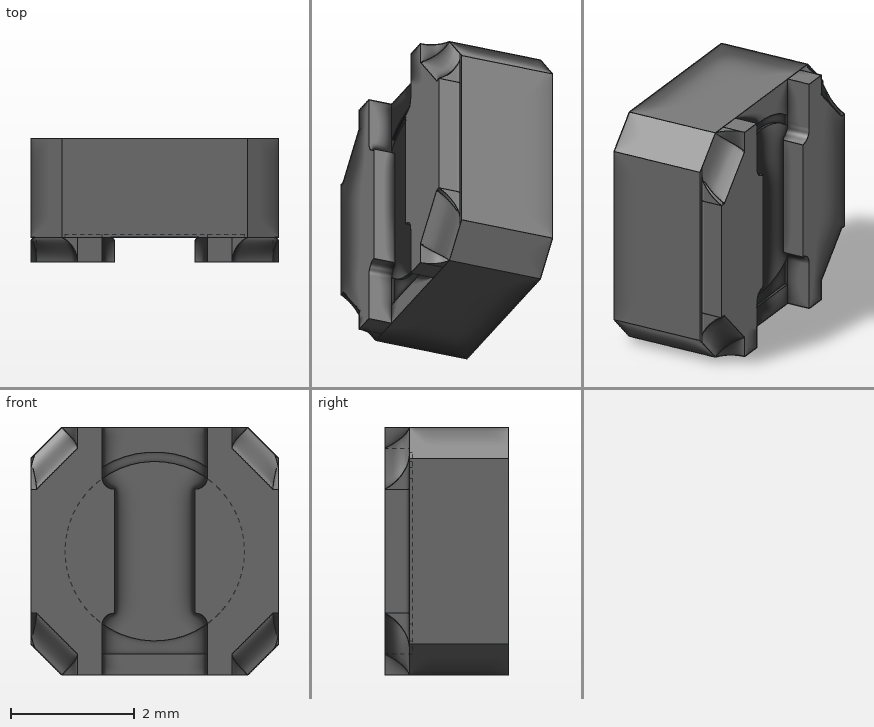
import cadquery as cq
import math

width = 4.0
half_width = width / 2
housing_depth = 1.6
pad_thickness = 0.4
housing_chamfer = 0.5
housing_front = -housing_depth
chamfer_start = half_width - housing_chamfer

core_radius = 1.45
gap_outer_radius = 1.6
gap_bottom = -1.66
gap_depth = 0.05

leg_inner_x = 0.85
leg_outer_x = 1.25
body_inner_x = 0.65
body_half_height = 1.0
leg_slope_z = 1.66
sloped_edge_x = leg_outer_x + leg_slope_z - body_half_height
notch_radius = leg_inner_x - body_inner_x
back_edge_radius = 0.08

fillet_sag = 0.07


def front_plane(y):
    """Sketch plane at height y, with X right, Z up and extrusion toward -Y."""
    return cq.Workplane("XZ", origin=(0, y, 0))


def back_edge(x):
    """Selector for the upright edges at x that lie on the front face of the housing."""
    reach = 0.0005
    return cq.selectors.BoxSelector(
        (x - reach, housing_front - reach, -half_width),
        (x + reach, housing_front + reach, half_width),
    )


def make_core():
    """Round disc whose front is flush with the housing."""
    return front_plane(housing_front + gap_depth).circle(core_radius).extrude(gap_depth)


def make_housing(core):
    """Chamfered block with a slot-shaped pocket and the seat of the core."""
    block = (
        front_plane(0)
        .rect(width, width)
        .extrude(housing_depth)
        .edges("|Y")
        .chamfer(housing_chamfer)
    )
    arc_end_z = math.sqrt(gap_outer_radius**2 - leg_inner_x**2)
    pocket = (
        front_plane(housing_front + gap_depth)
        .moveTo(-leg_inner_x, gap_bottom)
        .lineTo(leg_inner_x, gap_bottom)
        .lineTo(leg_inner_x, arc_end_z)
        .threePointArc((0, gap_outer_radius), (-leg_inner_x, arc_end_z))
        .close()
        .extrude(gap_depth)
    )
    return block.cut(pocket).cut(core)


def make_pad():
    """Contact pad on the +X side: a wide middle with a narrow leg at each end."""
    notch_start_z = body_half_height + notch_radius
    notch_middle = notch_radius * math.sqrt(0.5)
    notch_x = body_inner_x + notch_middle
    notch_z = notch_start_z - notch_middle
    pad = (
        front_plane(housing_front)
        .moveTo(leg_inner_x, half_width)
        .lineTo(leg_outer_x, half_width)
        .lineTo(leg_outer_x, leg_slope_z)
        .lineTo(sloped_edge_x, body_half_height)
        .lineTo(half_width, body_half_height)
        .lineTo(half_width, -body_half_height)
        .lineTo(sloped_edge_x, -body_half_height)
        .lineTo(leg_outer_x, -leg_slope_z)
        .lineTo(leg_outer_x, -half_width)
        .lineTo(leg_inner_x, -half_width)
        .lineTo(leg_inner_x, -notch_start_z)
        .threePointArc((notch_x, -notch_z), (body_inner_x, -body_half_height))
        .lineTo(body_inner_x, body_half_height)
        .threePointArc((notch_x, notch_z), (leg_inner_x, notch_start_z))
        .close()
        .extrude(pad_thickness)
    )
    return pad.edges(back_edge(half_width) + back_edge(body_inner_x)).fillet(back_edge_radius)


def make_solder_strip(pad_x, pad_z, direction, run):
    """Long strip of concave section, from the pad edge through (pad_x, pad_z) down to the housing.

    It spreads by run along direction, a unit vector in XZ.
    """
    direction_x, direction_z = direction
    chord = math.hypot(run, pad_thickness)
    middle_run = run / 2 - fillet_sag * pad_thickness / chord
    middle_rise = pad_thickness / 2 - fillet_sag * run / chord
    section_plane = cq.Plane(
        origin=(pad_x, housing_front, pad_z),
        xDir=(direction_x, 0, direction_z),
        normal=(direction_z, 0, -direction_x),
    )
    return (
        cq.Workplane(section_plane)
        .moveTo(-width, 0)
        .lineTo(run, 0)
        .threePointArc((middle_run, middle_rise), (0, pad_thickness))
        .lineTo(-width, pad_thickness)
        .close()
        .extrude(width, both=True)
    )


def make_corner_solder():
    """Solder fillet of the (+X, +Z) corner, filling between the pad and the housing chamfer."""
    space = (
        front_plane(housing_front)
        .moveTo(leg_outer_x, half_width)
        .lineTo(chamfer_start, half_width)
        .lineTo(half_width, chamfer_start)
        .lineTo(half_width, body_half_height)
        .lineTo(sloped_edge_x, body_half_height)
        .lineTo(leg_outer_x, leg_slope_z)
        .close()
        .extrude(pad_thickness)
        .edges(back_edge(half_width))
        .fillet(back_edge_radius)
    )
    diagonal = math.sqrt(0.5)
    sloped_run = (half_width + chamfer_start - leg_outer_x - leg_slope_z) * diagonal
    beside_leg = make_solder_strip(leg_outer_x, leg_slope_z, (1, 0), chamfer_start - leg_outer_x)
    along_slope = make_solder_strip(leg_outer_x, leg_slope_z, (diagonal, diagonal), sloped_run)
    above_body = make_solder_strip(
        sloped_edge_x, body_half_height, (0, 1), chamfer_start - body_half_height
    )
    return space.intersect(beside_leg.union(along_slope).union(above_body))


core = make_core()
housing = make_housing(core)

right_pad = make_pad()
pads = [right_pad, right_pad.mirror("YZ")]

upper_right_solder = make_corner_solder()
corner_solders = []
for right_solder in (upper_right_solder, upper_right_solder.mirror("XY")):
    corner_solders.append(right_solder)
    corner_solders.append(right_solder.mirror("YZ"))

bodies = [housing, core, *pads, *corner_solders]
result = cq.Compound.makeCompound([body.solids().val() for body in bodies])